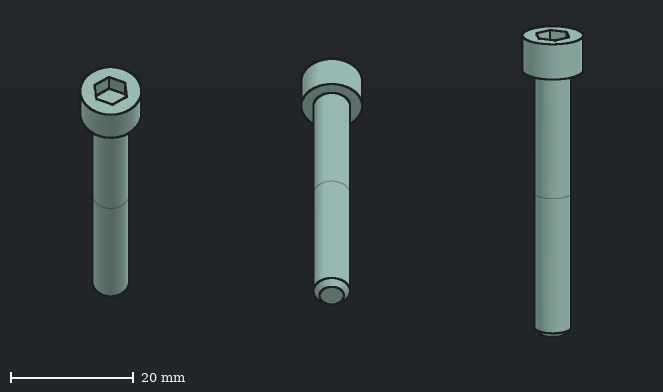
import cadquery as cq

total_length = 51.0
head_diameter = 10.0
head_height = 6.0
shank_diameter = 6.0
thread_length = 24.0
tip_chamfer = 1.0
socket_across_flats = 5.0
socket_depth = 3.0

shank_length = total_length - head_height
plain_length = shank_length - thread_length


def cylinder(diameter, bottom, height):
    return cq.Workplane("XY").workplane(offset=bottom).circle(diameter / 2).extrude(height)


thread = cylinder(shank_diameter, 0, thread_length).faces("<Z").chamfer(tip_chamfer)

plain_shank = cylinder(shank_diameter, thread_length, plain_length)
head = cylinder(head_diameter, shank_length, head_height)

socket = (
    cq.Workplane("XY")
    .workplane(offset=total_length - socket_depth)
    .polygon(6, socket_across_flats, circumscribed=True)
    .extrude(socket_depth)
    .rotate((0, 0, 0), (0, 0, 1), 90)
)

result = thread.union(plain_shank, clean=False).union(head, clean=False).cut(socket, clean=False)